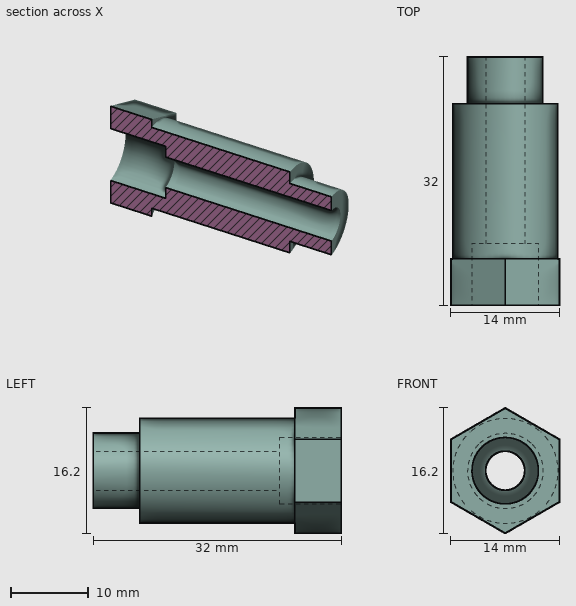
import cadquery as cq
import math

HEX_ACROSS_FLATS = 14.0
HEX_LENGTH = 6.0
BODY_DIAMETER = 13.55
BODY_LENGTH = 20.0
TIP_DIAMETER = 9.73
TIP_LENGTH = 6.0
BORE_DIAMETER = 5.0
COUNTERBORE_DIAMETER = 8.57
COUNTERBORE_DEPTH = 8.0

HEX_ACROSS_CORNERS = HEX_ACROSS_FLATS / math.cos(math.pi / 6)
BODY_END = HEX_LENGTH + BODY_LENGTH
TOTAL_LENGTH = BODY_END + TIP_LENGTH


def section_plane(y):
    """Plane across the part axis at the given Y, facing +Y."""
    return cq.Plane(origin=(0, y, 0), xDir=(0, 0, 1), normal=(0, 1, 0))


def cylinder(y_start, length, diameter):
    """Round section on the part axis, extending toward +Y."""
    return cq.Workplane(section_plane(y_start)).circle(diameter / 2).extrude(length)


def hex_head():
    """Hexagonal head with two corners on the Z axis and two flats facing X."""
    return cq.Workplane(section_plane(0)).polygon(6, HEX_ACROSS_CORNERS).extrude(HEX_LENGTH)


outside = (
    hex_head()
    .union(cylinder(HEX_LENGTH, BODY_LENGTH, BODY_DIAMETER))
    .union(cylinder(BODY_END, TIP_LENGTH, TIP_DIAMETER))
)

bore = cylinder(0, TOTAL_LENGTH, BORE_DIAMETER)
counterbore = cylinder(0, COUNTERBORE_DEPTH, COUNTERBORE_DIAMETER)

result = outside.cut(bore).cut(counterbore)